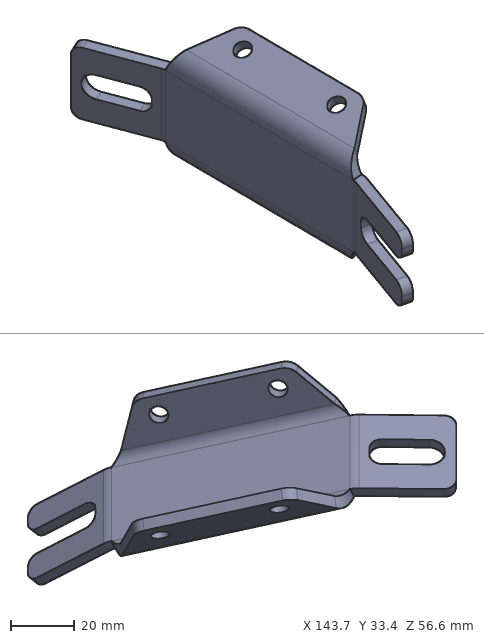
import cadquery as cq
import math

thickness = 4.0
bend_radius = 4.0
outer_radius = bend_radius + thickness
middle_radius = bend_radius + thickness / 2

plate_length = 80.0
plate_height = 30.0
half_length = plate_length / 2
half_height = plate_height / 2

overall_length = 143.7
overall_height = 56.6

tab_angle = 20.0
tab_corner_radius = 4.0
slot_width = 10.0
slot_length = 24.0
slot_corner_radius = 4.0
slot_margin = 3.6

flange_angle = 70.0
taper_angle = 30.0
flange_corner_radius = 5.0
hole_diameter = 6.2
hole_spacing = 40.0
hole_margin = 7.0

tab_sin = math.sin(math.radians(tab_angle))
tab_cos = math.cos(math.radians(tab_angle))
flange_sin = math.sin(math.radians(flange_angle))
flange_cos = math.cos(math.radians(flange_angle))
tab_reach = overall_length / 2 - half_length
tab_length = (tab_reach - outer_radius * tab_sin) / tab_cos
flange_reach = overall_height / 2 - half_height
flange_length = (flange_reach - outer_radius * flange_sin) / flange_cos

taper = math.tan(math.radians(taper_angle))
bend_setback = taper * middle_radius * math.radians(flange_angle)
flange_base_half = half_length - bend_setback
flange_tip_half = flange_base_half - taper * flange_length


def annular_sector(plane, start, end, inner, outer):
    """Sketch a ring sector about the plane origin, angles in degrees."""

    def point(radius, angle):
        turn = math.radians(angle)
        return radius * math.cos(turn), radius * math.sin(turn)

    middle = (start + end) / 2
    return (
        cq.Workplane(plane)
        .moveTo(*point(inner, start))
        .lineTo(*point(outer, start))
        .threePointArc(point(outer, middle), point(outer, end))
        .lineTo(*point(inner, end))
        .threePointArc(point(inner, middle), point(inner, start))
        .close()
    )


def make_tab(open_ended):
    """Right-hand tab with its bend; the slot is closed or runs out of the tip."""
    bend_axis = cq.Vector(half_length, -bend_radius, -half_height)
    bend_plane = cq.Plane(origin=bend_axis, xDir=(1, 0, 0), normal=(0, 0, 1))
    bend = annular_sector(
        bend_plane, 90 - tab_angle, 90, bend_radius, outer_radius
    ).extrude(plate_height)

    along = cq.Vector(tab_cos, -tab_sin, 0)
    across = cq.Vector(tab_sin, tab_cos, 0)
    origin = cq.Vector(half_length, -bend_radius, 0) + across * bend_radius
    face = cq.Plane(origin=origin, xDir=along, normal=across * -1)
    strip = (
        cq.Workplane(face)
        .center(tab_length / 2, 0)
        .rect(tab_length, plate_height)
        .extrude(-thickness)
    )
    slot_end = tab_length - slot_margin
    slot_start = slot_end - slot_length
    half_width = slot_width / 2
    slot = cq.Workplane(face).moveTo(slot_start, half_width).lineTo(slot_start, -half_width)
    if open_ended:
        slot = slot.lineTo(tab_length, -half_width).lineTo(tab_length, half_width)
    else:
        round_start = slot_end - half_width
        slot = slot.lineTo(round_start, -half_width).threePointArc(
            (slot_end, 0), (round_start, half_width)
        )
    slot = (
        slot.close()
        .extrude(-thickness)
        .faces(cq.selectors.DirectionMinMaxSelector(along, directionMax=False))
        .edges(cq.selectors.ParallelDirSelector(across))
        .fillet(slot_corner_radius)
    )
    strip = strip.cut(slot)
    tip_edges = strip.faces(cq.selectors.DirectionMinMaxSelector(along)).edges(
        cq.selectors.ParallelDirSelector(across)
    )
    return bend.union(tip_edges.fillet(tab_corner_radius))


def make_flange_bend():
    """Upper flange bend whose ends follow the taper around the curve."""
    def axis_plane(x):
        return cq.Plane(
            origin=(x, outer_radius, half_height), xDir=(0, -1, 0), normal=(-1, 0, 0)
        )

    bend = annular_sector(
        axis_plane(flange_base_half), 0, flange_angle, bend_radius, outer_radius
    ).extrude(2 * flange_base_half)

    end_block = annular_sector(
        axis_plane(half_length), 0, flange_angle, bend_radius, outer_radius
    ).extrude(bend_setback)
    turning_sector = annular_sector(
        axis_plane(half_length), -2 * flange_angle, 0, bend_radius / 2, 2 * outer_radius
    ).twistExtrude(bend_setback, flange_angle)
    end = end_block.intersect(turning_sector)
    return bend.union(end).union(end.mirror("YZ"))


def make_flange():
    """Straight part of the upper flange with rounded corners and two holes."""
    outward = cq.Vector(0, -flange_cos, flange_sin)
    origin = cq.Vector(0, outer_radius, half_height) + outward * outer_radius

    face = cq.Plane(origin=origin, xDir=(1, 0, 0), normal=outward)
    return (
        cq.Workplane(face)
        .polyline([
            (-flange_base_half, 0),
            (flange_base_half, 0),
            (flange_tip_half, flange_length),
            (-flange_tip_half, flange_length),
        ])
        .close()
        .extrude(-thickness)
        .faces(cq.selectors.DirectionMinMaxSelector(face.yDir))
        .edges(cq.selectors.ParallelDirSelector(outward))
        .fillet(flange_corner_radius)
        .copyWorkplane(cq.Workplane(face))
        .pushPoints([(side * hole_spacing / 2, flange_length - hole_margin) for side in (-1, 1)])
        .hole(hole_diameter)
    )


plate = cq.Workplane("XY").box(plate_length, thickness, plate_height, centered=(True, False, True))
closed_tab = make_tab(open_ended=False).mirror("YZ")
forked_tab = make_tab(open_ended=True)
upper_flange = make_flange_bend().union(make_flange())
lower_flange = upper_flange.mirror("XY")

result = plate.union(closed_tab).union(forked_tab).union(upper_flange).union(lower_flange)